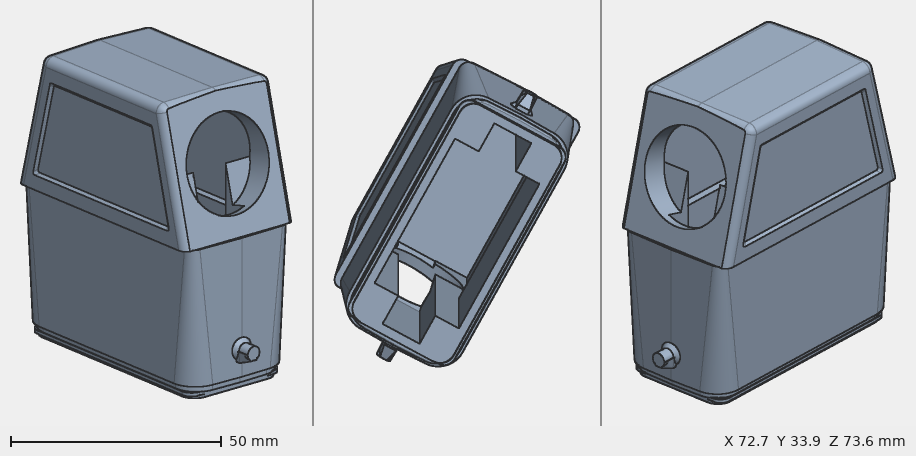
import cadquery as cq
import math

draft_angle = 1.5
draft_slope = math.tan(math.radians(draft_angle))

total_height = 73.6
hood_width = 33.9
hood_base_z = 38.6
hood_base_half_length = 31.7
hood_top_half_length = 22.6
hood_fillet = 2.35
hood_wall = 3.4
hood_height = total_height - hood_base_z
end_slope = (hood_base_half_length - hood_top_half_length) / hood_height
end_angle = math.degrees(math.atan(end_slope))
hood_trim = 7.35
entry_face_setback = 0.5

body_half_length = 31.95
body_width = 30.55
body_base_z = 3.45
body_top_corner = 2.65
body_base_corner = 6.6

flange_base_z = 1.7
flange_half_length = 31.2
flange_width = 28.85
flange_corner = 6.3
flange_round = 0.4
seal_base_z = 0.8
seal_half_length = 29.8
seal_width = 28.4
seal_corner = 2.8
foot_width = 26.95
foot_corner = 3.7

cavity_half_length = 27.6
cavity_width = 22.8
pillar_inner_x = 19.9
pillar_gap = 10.0

panel_base_z = 42.3
panel_top_z = 67.35
panel_base_half_length = 25.4
panel_top_half_length = panel_base_half_length - end_slope * (panel_top_z - panel_base_z)
panel_depth = 0.7
panel_wall_angle = 45.0
panel_corner = 0.9

entry_diameter = 25.0
entry_z = 55.9
entry_x = hood_base_half_length - entry_face_setback - end_slope * (entry_z - hood_base_z)
entry_depth = 7.35
entry_margin = 0.7

peg_z = 10.6
peg_tip_x = 36.35
peg_diameter = 3.6
peg_root_x = 30.2
collar_base_diameter = 5.95
collar_top_x = 33.05
collar_base_x = body_half_length - 0.15
gusset_base_z = 7.6
gusset_shoulder_width = 4.0
gusset_root_width = 3.2
gusset_tip_width = 1.8


def trapezoid(base_half, top_half, base_z, top_z):
    """Symmetric front outline, as a list of (x, z) points."""
    return [(-base_half, base_z), (base_half, base_z), (top_half, top_z), (-top_half, top_z)]


def plan_outline(half_length, width, corner, z, slope=draft_slope):
    """Horizontal outline with ridged ends and rounded corners at height z."""
    side = width / 2
    corner_x = half_length - slope * side
    points = [
        (half_length, 0),
        (corner_x, side),
        (-corner_x, side),
        (-half_length, 0),
        (-corner_x, -side),
        (corner_x, -side),
        (half_length, 0),
    ]
    outline = cq.Sketch().polygon(points).vertices("<Y or >Y").fillet(corner)
    return outline.moved(cq.Location(cq.Vector(0, 0, z)))


def standing_block(half_length, width, height):
    """Box standing on z = 0, centred on the Z axis."""
    return cq.Workplane().box(2 * half_length, width, height, centered=(True, True, False))


def both_sides(half, plane):
    """Join a feature with its mirror image."""
    return half.union(half.mirror(plane))


def make_hood():
    outline = trapezoid(
        hood_base_half_length + end_slope * hood_trim,
        hood_top_half_length,
        hood_base_z - hood_trim,
        total_height,
    )
    half = (
        cq.Workplane("XZ")
        .polyline(outline)
        .close()
        .extrude(hood_width / 2, taper=draft_angle)
        .edges("not >Y")
        .fillet(hood_fillet)
    )
    below = standing_block(hood_base_half_length + end_slope * hood_trim, hood_width, hood_base_z)
    return both_sides(half.cut(below), "XZ").cut(make_entry_face())


def make_entry_face():
    """Material in front of the flat face that replaces the ridged end on the +X side."""
    face_base_x = hood_base_half_length - entry_face_setback
    face_top_x = hood_top_half_length - entry_face_setback
    return (
        cq.Workplane("XZ")
        .polyline(
            [
                (face_base_x, hood_base_z),
                (face_top_x, total_height),
                (body_half_length, total_height),
                (body_half_length, hood_base_z),
            ]
        )
        .close()
        .extrude(hood_width / 2, both=True)
    )


def make_body():
    base = plan_outline(body_half_length, body_width, body_base_corner, body_base_z)
    top = plan_outline(body_half_length, body_width, body_top_corner, hood_base_z)
    return cq.Workplane().placeSketch(base, top).loft()


def make_rim():
    flange = (
        cq.Workplane()
        .placeSketch(plan_outline(flange_half_length, flange_width, flange_corner, flange_base_z))
        .extrude(body_base_z - flange_base_z)
        .faces("<Z")
        .edges()
        .fillet(flange_round)
    )
    seal = (
        cq.Workplane()
        .placeSketch(plan_outline(seal_half_length, seal_width, seal_corner, seal_base_z, 0))
        .extrude(flange_base_z - seal_base_z)
    )
    foot = (
        cq.Workplane()
        .placeSketch(plan_outline(seal_half_length, foot_width, foot_corner, 0, 0))
        .extrude(seal_base_z)
    )
    return flange.union(seal).union(foot)


def make_cavity():
    wall_along_x = hood_wall / math.cos(math.radians(end_angle))
    roof_z = total_height - hood_wall
    outline = trapezoid(
        hood_base_half_length - wall_along_x,
        hood_top_half_length + end_slope * hood_wall - wall_along_x,
        hood_base_z,
        roof_z,
    )
    upper = (
        cq.Workplane("XZ")
        .polyline(outline)
        .close()
        .extrude(hood_width / 2 - hood_wall, both=True)
    )
    lower = standing_block(cavity_half_length, cavity_width, hood_base_z)
    middle = standing_block(pillar_inner_x, hood_width, total_height)
    between_pillars = standing_block(cavity_half_length, pillar_gap, total_height)
    return upper.union(lower).intersect(middle.union(between_pillars))


def make_panel():
    outline = trapezoid(panel_base_half_length, panel_top_half_length, panel_base_z, panel_top_z)
    half = (
        cq.Workplane("XZ", origin=(0, -hood_width / 2, 0))
        .polyline(outline)
        .close()
        .extrude(-panel_depth, taper=panel_wall_angle)
        .edges("not #Y")
        .fillet(panel_corner)
    )
    return both_sides(half, "XZ")


def make_cable_entry():
    outward = cq.Vector(math.cos(math.radians(end_angle)), 0, math.sin(math.radians(end_angle)))
    start = cq.Vector(entry_x, 0, entry_z) - outward * entry_depth
    bore = cq.Solid.makeCylinder(entry_diameter / 2, entry_depth + entry_margin, start, outward)
    return cq.Workplane(bore)


def gusset_outline(top_width, base_width, depth):
    """Cross-section of the gusset, hanging down from the peg axis."""
    half_top = top_width / 2
    half_base = base_width / 2
    points = [(-half_top, 0), (half_top, 0), (half_base, -depth), (-half_base, -depth), (-half_top, 0)]
    return cq.Sketch().polygon(points)


def make_pegs():
    pin = (
        cq.Workplane("YZ", origin=(peg_root_x, 0, peg_z))
        .circle(peg_diameter / 2)
        .extrude(peg_tip_x - peg_root_x)
    )
    collar = cq.Workplane(
        cq.Solid.makeCone(
            collar_base_diameter / 2,
            peg_diameter / 2,
            collar_top_x - collar_base_x,
            cq.Vector(collar_base_x, 0, peg_z),
            cq.Vector(1, 0, 0),
        )
    )
    root_depth = peg_z - gusset_base_z
    root = gusset_outline(gusset_shoulder_width, gusset_root_width, root_depth)
    tip = gusset_outline(peg_diameter, gusset_tip_width, peg_diameter / 2)
    reach = peg_tip_x - collar_top_x
    start = cq.Workplane("YZ", origin=(collar_top_x, 0, peg_z))
    tapered = start.placeSketch(root, tip.moved(cq.Location(cq.Vector(0, 0, reach)))).loft()
    straight = start.placeSketch(root).extrude(peg_root_x - collar_top_x)
    peg = pin.union(collar).union(tapered).union(straight)
    return both_sides(peg, "YZ")


shell = make_body().union(make_hood()).union(make_rim()).union(make_pegs())
result = shell.cut(make_cavity()).cut(make_panel()).cut(make_cable_entry())